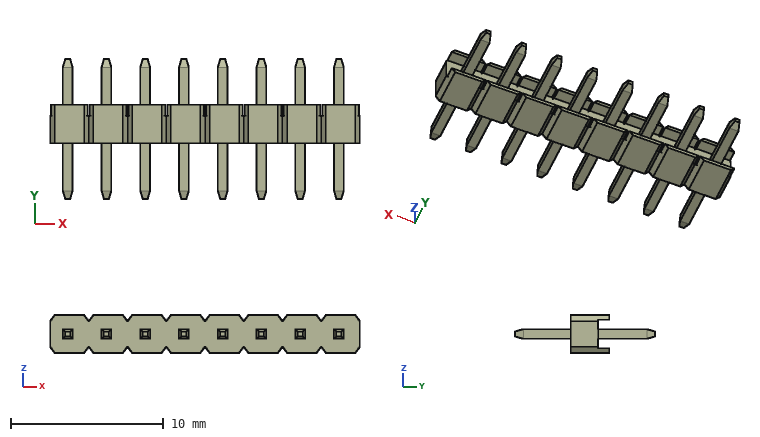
import cadquery as cq

pin_count = 8
body_length = 20.32
pitch = body_length / pin_count

body_depth = 2.55
body_height = 2.5
chamfer_width = 0.3
chamfer_height = 0.4
recess_depth = 0.73
flange_thickness = 0.33

pin_width = 0.65
tip_width = 0.33
tip_length = 0.55
front_reach = 3.65
rear_reach = 3.0
pin_inset = 1.15

left_side = -body_length / 2


def make_housing():
    """Row of chamfered segments that touch below their chamfers."""
    top = body_height / 2
    shoulder = top - chamfer_height
    upper = []
    for index in range(pin_count):
        start = left_side + index * pitch
        end = start + pitch
        upper += [
            (start, shoulder),
            (start + chamfer_width, top),
            (end - chamfer_width, top),
        ]
    upper.append((left_side + body_length, shoulder))
    lower = [(x, -z) for x, z in reversed(upper)]
    return cq.Workplane("XZ").polyline(upper + lower).close().extrude(-body_depth)


def make_recess():
    """Full-length channel in the rear face, leaving a flange above and below."""
    channel_height = body_height - 2 * flange_thickness
    return (
        cq.Workplane("XY")
        .box(body_length, recess_depth, channel_height)
        .translate((0, body_depth - recess_depth / 2, 0))
    )


def make_pin(x):
    """Square pin through the housing, tapered at both ends."""
    front_end = -front_reach
    rear_end = body_depth + rear_reach
    shank_start = front_end + tip_length
    shank_end = rear_end - tip_length

    def taper(shoulder_y, length):
        return (
            cq.Workplane("XZ", origin=(x, shoulder_y, 0))
            .rect(pin_width, pin_width)
            .workplane(offset=length)
            .rect(tip_width, tip_width)
            .loft(ruled=True)
        )

    shank = (
        cq.Workplane("XZ", origin=(x, shank_start, 0))
        .rect(pin_width, pin_width)
        .extrude(shank_start - shank_end)
    )
    return shank.union(taper(shank_start, tip_length)).union(taper(shank_end, -tip_length))


result = make_housing().cut(make_recess())
for index in range(pin_count):
    result = result.union(make_pin(left_side + index * pitch + pin_inset))